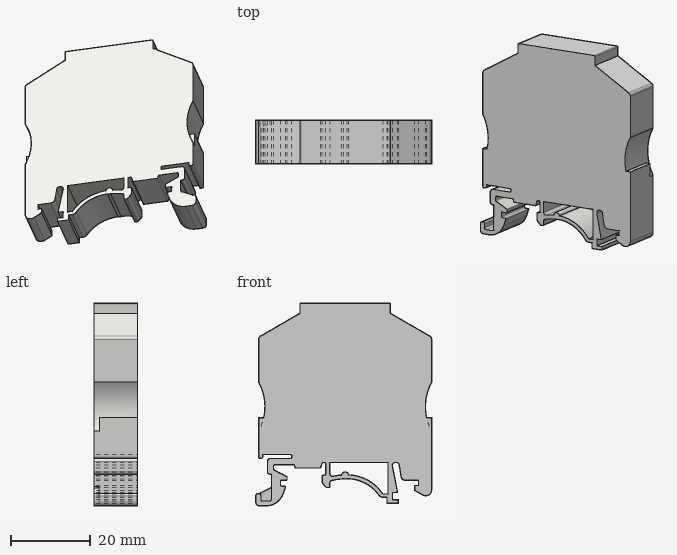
import cadquery as cq
import math

THICKNESS = 11.0
HEIGHT = 51.0
HALF_WIDTH = 21.8

TOP_HALF_WIDTH = 11.35
TOP_STEP = 2.55
SHOULDER_ANGLE = 30.0
SHOULDER_Z = HEIGHT - TOP_STEP
SHOULDER_DROP = (HALF_WIDTH - TOP_HALF_WIDTH) * math.tan(math.radians(SHOULDER_ANGLE))
CORNER_Z = SHOULDER_Z - SHOULDER_DROP
TOP_RADIUS = 0.25
CORNER_RADIUS = 1.0

GRIP_Z = 25.0
GRIP_HALF_HEIGHT = 6.15
GRIP_DEPTH = 1.6
GRIP_LEDGE_Z = 22.2
GRIP_BACK_STRIP = 1.45

CEILING_Z = 10.9
ARM_BOTTOM_Z = 10.35
RAIL_GROOVE_TOP_Z = 6.45
RAIL_GROOVE_BOTTOM_Z = 5.15
SMALL_RADIUS = 0.15

SLOT_TOP_Z = 12.9
ARM_TOP_Z = 12.0
SLOT_RIGHT = -13.45
SLOT_END_RADIUS = 0.3
TOE_RIGHT = -20.7
TOE_RADIUS = 0.35

ARM_LEFT = -19.6
ARM_STEP_Z = 7.95
ARM_INNER_LEFT = -18.0
BARB_ROOT_Z = 9.15
BARB_TIP_Z = 7.35
BARB_RIGHT = -14.6
BARB_RADIUS = 0.25
ARM_INNER_RADIUS = 0.4
ARM_STEP_RADIUS = 0.65
ARM_TOP_RADIUS = 0.85

HOOK_LEFT = -HALF_WIDTH - 0.7
HOOK_INNER_LEFT = HOOK_LEFT + 1.3
HOOK_STEM_LEFT = -18.55
HOOK_GROOVE_LEFT = -16.2
HOOK_GROOVE_BOTTOM_Z = 5.05
HOOK_RIGHT = -14.9
HOOK_SHOULDER_Z = 4.95
HOOK_BOTTOM_CORNER_X = -16.7
HOOK_OUTER_RADIUS = 4.6
HOOK_HEEL_RADIUS = 0.95
HOOK_LIP_Z = 3.1
HOOK_LIP_OUTER_RADIUS = 0.55
HOOK_LIP_INNER_RADIUS = 0.4
HOOK_FLOOR_Z = 1.2
HOOK_FLOOR_RADIUS = 0.45
HOOK_WEB_TOP_Z = 4.9
HOOK_WEB_BEND_Z = 4.5
HOOK_WEB_BEND_LENGTH = 0.35
HOOK_WEB_THICKNESS = 1.3
HOOK_WEB_OVERLAP = 0.5

PAD_Z = 9.5
PAD_LEFT = -12.55
PAD_RIGHT = -6.15
PAD_SIDE_SLANT = 0.3

TONGUE_RIGHT = -3.8
TONGUE_LEFT = -4.9
TONGUE_SLOT_LEFT = -5.75
TONGUE_SLOT_RADIUS = 0.4
TONGUE_BARB_LEFT = -5.8
TONGUE_BARB_TOP_Z = 7.85
TONGUE_BARB_RISE = 0.15
TONGUE_BARB_BOTTOM_Z = 5.75
TONGUE_BOTTOM_LEFT = -4.7
TONGUE_BOTTOM_Z = 4.6
TONGUE_BOTTOM_RADIUS = 0.35
TONGUE_BARB_RADIUS = 1.3

POST_LEFT = 10.7
POST_RIGHT = 11.95
POST_TOP_RIGHT = 11.75
POST_FLARE_RIGHT = 13.2
POST_FLARE_Z = 3.35
POST_FOOT_LEFT = 10.45
POST_FOOT_RIGHT = 13.35
POST_FOOT_TOP_Z = 1.6
POST_FOOT_BOTTOM_Z = 0.65

FOOT_CORNER_Z = 1.45
FOOT_RADIUS = 1.55
FOOT_TIP_LEFT = 17.5
FOOT_TIP_BOTTOM_Z = 3.9
FOOT_GROOVE_RIGHT = 18.4
FOOT_SLOT_BOTTOM_X = 14.2
FOOT_SLOT_BOTTOM_RADIUS = 1.15
FOOT_SLOT_TOP_X = 13.45
FOOT_SLOT_TOP_RADIUS = 0.7

BRIDGE_CROWN_X = 0.45
BRIDGE_CROWN_Z = 6.85
BRIDGE_CROWN_THICKNESS = 1.0
BRIDGE_LEFT_RADIUS = 16.3
BRIDGE_RIGHT_RADIUS = 9.85
BRIDGE_FOOT_BOTTOM_Z = 2.15
BRIDGE_FOOT_TOP_Z = 3.05
BRIDGE_ROOT_RADIUS = 0.6
BRIDGE_BEND_RADIUS = 1.3
BUMP_RADIUS = 0.9
BUMP_Z = 7.65


def rounded_outline(corners):
    """Closed XZ outline through (x, z, radius) corners; radius 0 keeps a corner sharp."""
    outline = None
    for i, (x, z, radius) in enumerate(corners):
        corner = cq.Vector(x, z)
        to_previous = (cq.Vector(*corners[i - 1][:2]) - corner).normalized()
        to_next = (cq.Vector(*corners[(i + 1) % len(corners)][:2]) - corner).normalized()
        half_angle = to_previous.getAngle(to_next) / 2
        setback = radius / math.tan(half_angle)
        start = corner + to_previous * setback
        if outline is None:
            outline = cq.Workplane("XZ").moveTo(start.x, start.y)
        else:
            outline = outline.lineTo(start.x, start.y)
        if radius > 0:
            bisector = (to_previous + to_next).normalized()
            middle = corner + bisector * (radius / math.sin(half_angle) - radius)
            end = corner + to_next * setback
            outline = outline.threePointArc((middle.x, middle.y), (end.x, end.y))
    return outline.close()


def through(outline):
    """Extrude an outline through the full thickness, centred on Y = 0."""
    return outline.extrude(THICKNESS / 2, both=True)


def back_slice(outline, depth):
    """Extrude an outline over the given depth at the +Y face only."""
    return outline.extrude(depth).translate((0, THICKNESS / 2, 0))


def housing():
    top = [
        (-HALF_WIDTH, CORNER_Z, CORNER_RADIUS),
        (-TOP_HALF_WIDTH, SHOULDER_Z, 0),
        (-TOP_HALF_WIDTH, HEIGHT, TOP_RADIUS),
        (TOP_HALF_WIDTH, HEIGHT, TOP_RADIUS),
        (TOP_HALF_WIDTH, SHOULDER_Z, 0),
        (HALF_WIDTH, CORNER_Z, CORNER_RADIUS),
    ]
    fixed_foot = [
        (HALF_WIDTH, FOOT_CORNER_Z, FOOT_RADIUS),
        (FOOT_TIP_LEFT, FOOT_TIP_BOTTOM_Z, 0),
        (FOOT_TIP_LEFT, RAIL_GROOVE_BOTTOM_Z, 0),
        (FOOT_GROOVE_RIGHT, RAIL_GROOVE_BOTTOM_Z, 0),
        (FOOT_GROOVE_RIGHT, RAIL_GROOVE_TOP_Z, 0),
        (FOOT_SLOT_BOTTOM_X, RAIL_GROOVE_TOP_Z, FOOT_SLOT_BOTTOM_RADIUS),
        (FOOT_SLOT_TOP_X, CEILING_Z, FOOT_SLOT_TOP_RADIUS),
    ]
    post = [
        (POST_TOP_RIGHT, CEILING_Z, FOOT_SLOT_TOP_RADIUS),
        (POST_FLARE_RIGHT, POST_FLARE_Z, 0),
        (POST_RIGHT, POST_FLARE_Z, 0),
        (POST_RIGHT, POST_FOOT_TOP_Z, 0),
        (POST_FOOT_RIGHT, POST_FOOT_TOP_Z, 0),
        (POST_FOOT_RIGHT, POST_FOOT_BOTTOM_Z, 0),
        (POST_FOOT_LEFT, POST_FOOT_BOTTOM_Z, 0),
        (POST_FOOT_LEFT, BRIDGE_FOOT_BOTTOM_Z, 0),
        (POST_LEFT, BRIDGE_FOOT_BOTTOM_Z, 0),
        (POST_LEFT, CEILING_Z, 0),
    ]
    tongue = [
        (TONGUE_RIGHT, CEILING_Z, 0),
        (TONGUE_RIGHT, TONGUE_BOTTOM_Z, TONGUE_BOTTOM_RADIUS),
        (TONGUE_BOTTOM_LEFT, TONGUE_BOTTOM_Z, SMALL_RADIUS),
        (TONGUE_BARB_LEFT, TONGUE_BARB_BOTTOM_Z, TONGUE_BARB_RADIUS),
        (TONGUE_BARB_LEFT, TONGUE_BARB_TOP_Z - TONGUE_BARB_RISE, 0),
        (TONGUE_LEFT, TONGUE_BARB_TOP_Z, 0),
        (TONGUE_LEFT, CEILING_Z, TONGUE_SLOT_RADIUS),
        (TONGUE_SLOT_LEFT, CEILING_Z, TONGUE_SLOT_RADIUS),
    ]
    pad = [
        (PAD_RIGHT, PAD_Z, 0),
        (PAD_LEFT, PAD_Z, SMALL_RADIUS),
        (PAD_LEFT - PAD_SIDE_SLANT, ARM_BOTTOM_Z, SMALL_RADIUS),
    ]
    hook = [
        (ARM_INNER_LEFT, ARM_BOTTOM_Z, ARM_INNER_RADIUS),
        (ARM_INNER_LEFT, BARB_ROOT_Z, BARB_RADIUS),
        (BARB_RIGHT, BARB_TIP_Z, SMALL_RADIUS),
        (BARB_RIGHT, RAIL_GROOVE_TOP_Z, BARB_RADIUS),
        (HOOK_GROOVE_LEFT, RAIL_GROOVE_TOP_Z, 0),
        (HOOK_GROOVE_LEFT, HOOK_GROOVE_BOTTOM_Z, BARB_RADIUS),
        (HOOK_RIGHT, HOOK_SHOULDER_Z, SMALL_RADIUS),
        (HOOK_BOTTOM_CORNER_X, 0, HOOK_OUTER_RADIUS),
        (HOOK_LEFT, 0, HOOK_HEEL_RADIUS),
        (HOOK_LEFT, HOOK_LIP_Z, HOOK_LIP_OUTER_RADIUS),
        (HOOK_INNER_LEFT, HOOK_LIP_Z, HOOK_LIP_INNER_RADIUS),
        (HOOK_INNER_LEFT, HOOK_FLOOR_Z, HOOK_FLOOR_RADIUS),
        (HOOK_STEM_LEFT, HOOK_FLOOR_Z, HOOK_FLOOR_RADIUS),
        (HOOK_STEM_LEFT, ARM_STEP_Z, 0),
        (ARM_LEFT, ARM_STEP_Z, ARM_STEP_RADIUS),
        (ARM_LEFT, ARM_TOP_Z, ARM_TOP_RADIUS),
    ]
    arm_slot = [
        (SLOT_RIGHT, ARM_TOP_Z, SLOT_END_RADIUS),
        (SLOT_RIGHT, SLOT_TOP_Z, SLOT_END_RADIUS),
        (TOE_RIGHT, SLOT_TOP_Z, 0),
        (TOE_RIGHT, ARM_TOP_Z, TOE_RADIUS),
        (-HALF_WIDTH, ARM_TOP_Z, TOE_RADIUS),
    ]
    return through(rounded_outline(top + fixed_foot + post + tongue + pad + hook + arm_slot))


def finger_grip(side):
    """Cutter for one grip; side is -1 or 1. Below the ledge it only reaches the back strip."""
    grip = (
        cq.Workplane("XZ")
        .moveTo(side * HALF_WIDTH, GRIP_Z + GRIP_HALF_HEIGHT)
        .threePointArc(
            (side * (HALF_WIDTH - GRIP_DEPTH), GRIP_Z),
            (side * HALF_WIDTH, GRIP_Z - GRIP_HALF_HEIGHT),
        )
        .close()
    )
    ledge_height = GRIP_LEDGE_Z - (GRIP_Z - GRIP_HALF_HEIGHT)
    ledge = cq.Workplane("XY").box(2 * GRIP_DEPTH, THICKNESS - GRIP_BACK_STRIP, ledge_height)
    ledge = ledge.translate((side * HALF_WIDTH, -GRIP_BACK_STRIP / 2, GRIP_LEDGE_Z - ledge_height / 2))
    return through(grip).cut(ledge)


def hook_web():
    """Sloping wall that closes the hook channel at the back."""
    lip_x = HOOK_INNER_LEFT - HOOK_LIP_INNER_RADIUS
    base_z = HOOK_FLOOR_Z - HOOK_WEB_OVERLAP
    outline = cq.Workplane("XZ").polyline([
        (lip_x, HOOK_LIP_Z),
        (HOOK_STEM_LEFT - HOOK_WEB_BEND_LENGTH, HOOK_WEB_BEND_Z),
        (HOOK_STEM_LEFT, HOOK_WEB_TOP_Z),
        (HOOK_STEM_LEFT + HOOK_WEB_OVERLAP, base_z),
        (lip_x, base_z),
    ]).close()
    return back_slice(outline, HOOK_WEB_THICKNESS)


def spring_bridge():
    """Bowed strip between tongue and post, flatter left of its crown than right of it.

    Returns the strip and the (x, z, radius) edges to fillet once it is joined to the housing.
    """
    left_center_z = BRIDGE_CROWN_Z - BRIDGE_LEFT_RADIUS
    right_center_z = BRIDGE_CROWN_Z - BRIDGE_RIGHT_RADIUS
    left_x = TONGUE_RIGHT - BRIDGE_CROWN_X

    def left_z(offset):
        return left_center_z + math.sqrt((BRIDGE_LEFT_RADIUS + offset) ** 2 - left_x ** 2)

    def right_x(offset, z):
        reach = math.sqrt((BRIDGE_RIGHT_RADIUS + offset) ** 2 - (z - right_center_z) ** 2)
        return BRIDGE_CROWN_X + reach

    outer = BRIDGE_CROWN_THICKNESS
    crown_top = (BRIDGE_CROWN_X, BRIDGE_CROWN_Z + outer)
    crown_bottom = (BRIDGE_CROWN_X, BRIDGE_CROWN_Z)
    outline = (
        cq.Workplane("XZ")
        .moveTo(TONGUE_RIGHT, left_z(outer))
        .radiusArc(crown_top, BRIDGE_LEFT_RADIUS + outer)
        .radiusArc((right_x(outer, BRIDGE_FOOT_TOP_Z), BRIDGE_FOOT_TOP_Z), BRIDGE_RIGHT_RADIUS + outer)
        .lineTo(POST_LEFT, BRIDGE_FOOT_TOP_Z)
        .lineTo(POST_LEFT, BRIDGE_FOOT_BOTTOM_Z)
        .lineTo(right_x(0, BRIDGE_FOOT_BOTTOM_Z), BRIDGE_FOOT_BOTTOM_Z)
        .radiusArc(crown_bottom, -BRIDGE_RIGHT_RADIUS)
        .radiusArc((TONGUE_RIGHT, left_z(0)), -BRIDGE_LEFT_RADIUS)
        .close()
    )
    bump = cq.Workplane("XZ").center(0, BUMP_Z).circle(BUMP_RADIUS)
    root_fillets = [
        (TONGUE_RIGHT, left_z(outer), BRIDGE_ROOT_RADIUS),
        (TONGUE_RIGHT, left_z(0), BRIDGE_ROOT_RADIUS),
        (right_x(0, BRIDGE_FOOT_BOTTOM_Z), BRIDGE_FOOT_BOTTOM_Z, BRIDGE_BEND_RADIUS),
    ]
    return through(outline).union(through(bump)), root_fillets


bridge, bridge_fillets = spring_bridge()
result = housing().union(bridge)
for edge_x, edge_z, fillet_radius in bridge_fillets:
    nearest_edge = cq.selectors.NearestToPointSelector((edge_x, 0, edge_z))
    result = result.edges("|Y").edges(nearest_edge).fillet(fillet_radius)
result = result.union(hook_web())
for grip_side in (-1, 1):
    result = result.cut(finger_grip(grip_side))